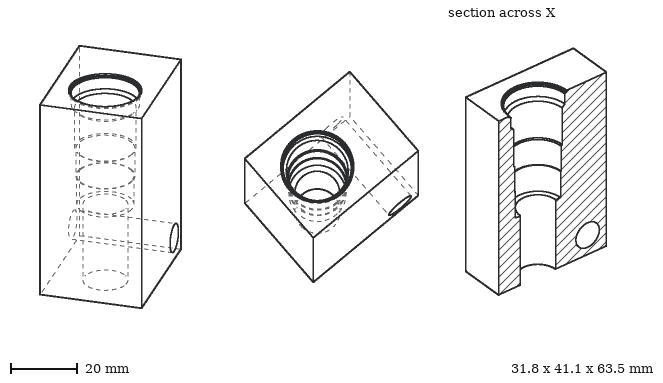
import cadquery as cq

width = 31.75
depth = 41.15
height = 63.5

port_from_front = 15.0
mouth_radius = 10.9
mouth_depth = 0.6
lead_in_radius = 10.55
seal_radius = 10.2
seal_start = 0.95
seal_end = 4.7
upper_bore_radius = 9.2
upper_bore_end = 19.05
middle_bore_radius = 8.8
lower_bore_radius = 8.6
middle_bore_end = 28.6
lower_bore_end = 38.1
through_radius = 6.7

cross_diameter = 8.75
cross_from_back = 7.2
cross_from_bottom = 7.2


def make_port():
    """Revolved cutter for the stepped port, with its axis on Z and its mouth at Z = 0."""
    seal_taper_end = seal_end + seal_radius - upper_bore_radius
    bore_taper_end = upper_bore_end + upper_bore_radius - middle_bore_radius
    profile = [
        (0, 0),
        (mouth_radius, 0),
        (mouth_radius, -mouth_depth),
        (lead_in_radius, -mouth_depth),
        (seal_radius, -seal_start),
        (seal_radius, -seal_end),
        (upper_bore_radius, -seal_taper_end),
        (upper_bore_radius, -upper_bore_end),
        (middle_bore_radius, -bore_taper_end),
        (middle_bore_radius, -middle_bore_end),
        (lower_bore_radius, -middle_bore_end),
        (lower_bore_radius, -lower_bore_end),
        (through_radius, -lower_bore_end),
        (through_radius, -height),
        (0, -height),
    ]
    return cq.Workplane("XZ").polyline(profile).close().revolve(360, (0, 0), (0, 1))


def make_cross_hole():
    """Plain round cutter running along X through the whole block."""
    start = (-width / 2, depth / 2 - cross_from_back, cross_from_bottom)
    return cq.Workplane("YZ", origin=start).circle(cross_diameter / 2).extrude(width)


block = cq.Workplane("XY").box(width, depth, height, centered=(True, True, False))
port = make_port().translate((0, port_from_front - depth / 2, height))
result = block.cut(port).cut(make_cross_hole())